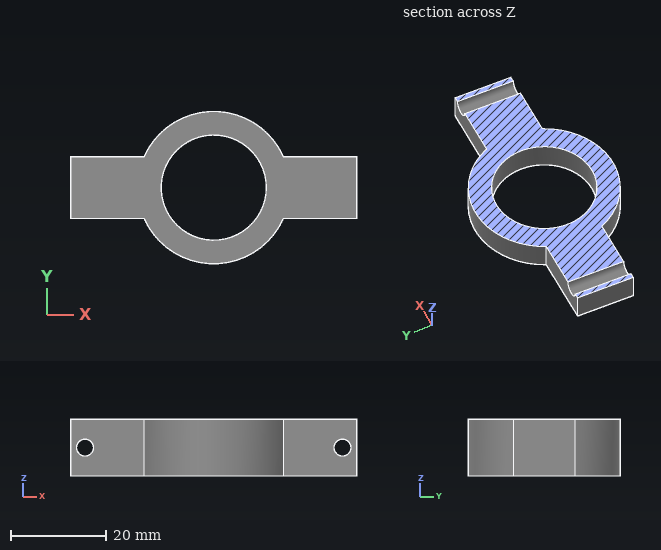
import cadquery as cq

total_length = 60.0
height = 12.0
ring_diameter = 32.0
bore_diameter = 22.0
arm_width = 13.0
pin_hole_diameter = 3.5
pin_hole_end_distance = 3.0

pin_hole_x = total_length / 2 - pin_hole_end_distance


def hub_with_arms():
    """Round hub with a rectangular arm on each side, centred on the origin."""
    hub = cq.Workplane("XY").cylinder(height, ring_diameter / 2)
    arms = cq.Workplane("XY").box(total_length, arm_width, height)
    return hub.union(arms)


def bore():
    """Vertical through bore of the hub."""
    return cq.Workplane("XY").cylinder(height, bore_diameter / 2)


def pin_holes():
    """Cross holes along Y, one through each arm near its end."""
    return (
        cq.Workplane("XZ")
        .pushPoints([(-pin_hole_x, 0), (pin_hole_x, 0)])
        .cylinder(arm_width, pin_hole_diameter / 2)
    )


result = hub_with_arms().cut(bore()).cut(pin_holes())